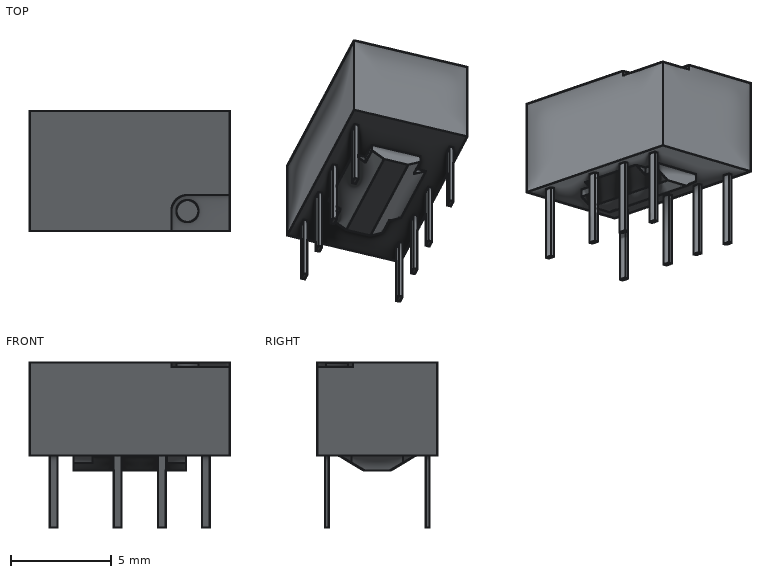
import cadquery as cq

HOUSING_LENGTH = 10.0
HOUSING_WIDTH = 6.0
HOUSING_HEIGHT = 4.65

MARKER_X = 2.88
MARKER_Y = -2.0
MARKER_DIAMETER = 1.1
MARKER_HEIGHT = 0.2
RECESS_RADIUS = 0.8
RECESS_DEPTH = 0.24

KEEL_LENGTH = 5.64
KEEL_DEPTH = 0.76
KEEL_TOP_WIDTH = 3.84
KEEL_BOTTOM_WIDTH = 1.28
KEEL_END_LENGTH = 0.96
KEEL_END_WIDTH = 2.56

PIN_LENGTH = 3.6
PIN_WIDTH = 0.4
PIN_THICKNESS = 0.2
PIN_ROW_Y = 2.52
PIN_PITCH = 2.2
LAST_PIN_X = 3.8
PIN_POSITIONS_X = [-LAST_PIN_X, LAST_PIN_X - 2 * PIN_PITCH, LAST_PIN_X - PIN_PITCH, LAST_PIN_X]


def make_keel():
    """Trapezoidal bar along X whose ends are trimmed to a narrower width."""
    half_top = KEEL_TOP_WIDTH / 2
    half_bottom = KEEL_BOTTOM_WIDTH / 2
    keel = (
        cq.Workplane("YZ")
        .polyline([(-half_top, 0), (half_top, 0), (half_bottom, -KEEL_DEPTH), (-half_bottom, -KEEL_DEPTH)])
        .close()
        .extrude(KEEL_LENGTH / 2, both=True)
    )
    middle_length = KEEL_LENGTH - 2 * KEEL_END_LENGTH
    middle = cq.Workplane("XY").box(middle_length, KEEL_TOP_WIDTH, 2 * KEEL_DEPTH)
    spine = cq.Workplane("XY").box(KEEL_LENGTH, KEEL_END_WIDTH, 2 * KEEL_DEPTH)
    return keel.intersect(middle.union(spine))


def make_recess():
    """Cutter for the corner recess, open to the +X and -Y sides, with a rounded inner corner."""
    recess_left = MARKER_X - RECESS_RADIUS
    recess_back = MARKER_Y + RECESS_RADIUS
    length = HOUSING_LENGTH / 2 - recess_left
    width = recess_back + HOUSING_WIDTH / 2
    return (
        cq.Workplane("XY")
        .box(length, width, RECESS_DEPTH, centered=False)
        .edges("|Z and <X and >Y")
        .fillet(RECESS_RADIUS)
        .translate((recess_left, -HOUSING_WIDTH / 2, HOUSING_HEIGHT - RECESS_DEPTH))
    )


def make_marker():
    """Round boss on the recess floor, slightly lower than the top of the housing."""
    return (
        cq.Workplane("XY")
        .circle(MARKER_DIAMETER / 2)
        .extrude(MARKER_HEIGHT)
        .translate((MARKER_X, MARKER_Y, HOUSING_HEIGHT - RECESS_DEPTH))
    )


def make_housing():
    """Box with the marked corner recess on top and the keel below."""
    box = cq.Workplane("XY").box(
        HOUSING_LENGTH, HOUSING_WIDTH, HOUSING_HEIGHT, centered=(True, True, False)
    )
    return box.cut(make_recess()).union(make_marker()).union(make_keel())


def make_pin(x, y):
    """Flat terminal whose upper end meets the underside of the housing."""
    return (
        cq.Workplane("XY")
        .rect(PIN_WIDTH, PIN_THICKNESS)
        .extrude(-PIN_LENGTH)
        .translate((x, y, 0))
    )


housing = make_housing()

pins = []
for row_y in (-PIN_ROW_Y, PIN_ROW_Y):
    for pin_x in PIN_POSITIONS_X:
        pins.append(make_pin(pin_x, row_y).val())

result = cq.Compound.makeCompound([housing.val(), *pins])